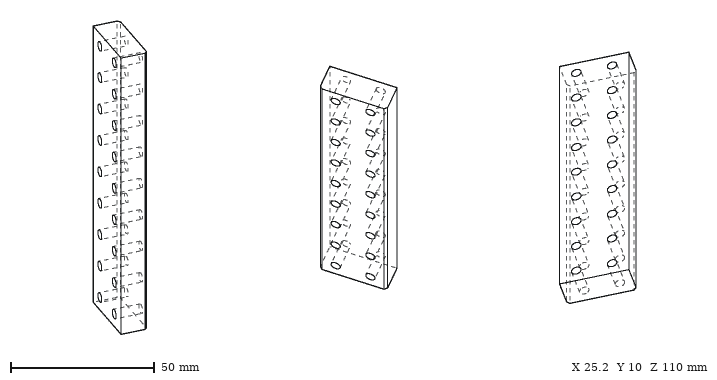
import cadquery as cq

width = 25.2
thickness = 10.0
length = 110.0
edge_chamfer = 1.0

hole_diameter = 3.4
hole_rows = 9
column_spacing = 13.0
column_length = 100.0
row_spacing = column_length / (hole_rows - 1)

bar = cq.Workplane("XY").box(width, thickness, length)
bar = bar.faces(">Y").edges("|Z").chamfer(edge_chamfer)

result = (
    bar.faces("<Y")
    .workplane(centerOption="CenterOfBoundBox")
    .rarray(column_spacing, row_spacing, 2, hole_rows)
    .hole(hole_diameter)
)